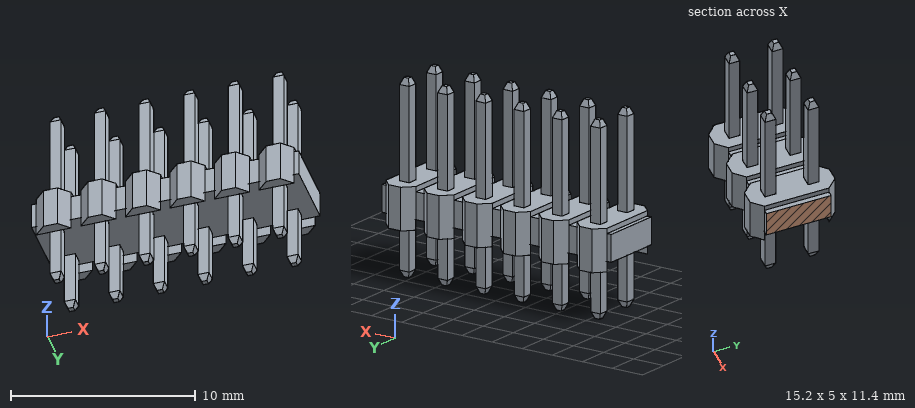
import cadquery as cq

columns = 6
rows = 2
length = 15.24
pitch = length / columns

body_width = 2.0
body_depth = 5.0
body_height = 2.5
corner_chamfer = 0.6

web_drop = 0.3
web_height = 1.6

pin_width = 0.64
pin_tip_width = 0.3
pin_taper_height = 0.4
pin_above = 5.9
pin_below = 3.0

web_depth = body_depth - 2 * corner_chamfer
web_top = body_height - web_drop
web_bottom = web_top - web_height
pin_top = body_height + pin_above
pin_bottom = -pin_below


def centred_positions(count):
    """Coordinates of `count` places one pitch apart, centred on zero."""
    return [(i - (count - 1) / 2) * pitch for i in range(count)]


def bar(size_x, size_y, bottom, top):
    """Upright block centred on the Z axis between two heights."""
    return cq.Workplane("XY").workplane(offset=bottom).rect(size_x, size_y).extrude(top - bottom)


def segment():
    """Octagonal housing segment around one pair of pins."""
    return bar(body_width, body_depth, 0, body_height).edges("|Z").chamfer(corner_chamfer)


def tip(base_height, direction):
    """Tapered pin end that narrows along Z in the given direction (+1 or -1)."""
    return (
        cq.Workplane("XY")
        .workplane(offset=base_height)
        .rect(pin_width, pin_width)
        .workplane(offset=direction * pin_taper_height)
        .rect(pin_tip_width, pin_tip_width)
        .loft(ruled=True)
    )


def pin():
    """Square pin tapered at both ends."""
    shank_bottom = pin_bottom + pin_taper_height
    shank_top = pin_top - pin_taper_height
    shank = bar(pin_width, pin_width, shank_bottom, shank_top)
    return shank.union(tip(shank_top, 1)).union(tip(shank_bottom, -1))


housing = bar(length, web_depth, web_bottom, web_top)
for x in centred_positions(columns):
    housing = housing.union(segment().translate((x, 0, 0)))

housing = housing.cut(bar(length, web_depth, 0, web_bottom))

result = housing
for x in centred_positions(columns):
    for y in centred_positions(rows):
        result = result.union(pin().translate((x, y, 0)))